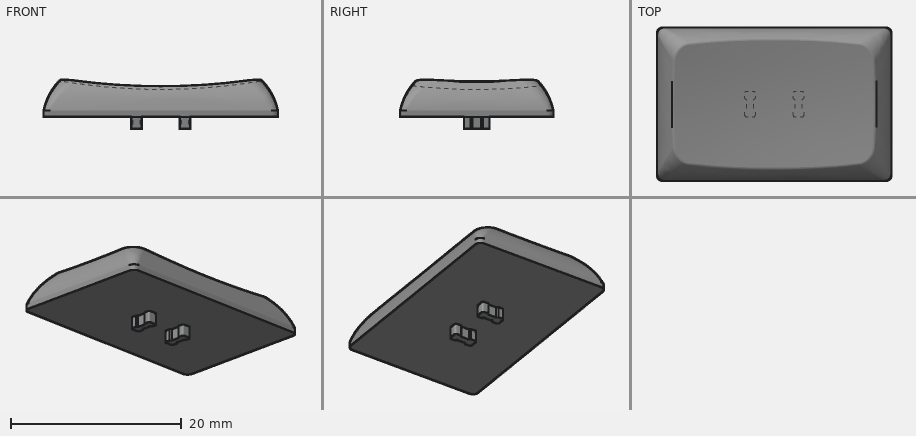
import cadquery as cq
import math

length = 27.5
width = 18.0

band_height = 0.72
base_corner_radius = 0.72

flank_radius = 7.15
flank_start_lean = math.radians(12.0)
flank_height = 4.02
flank_sections = 6
corner_radius_growth = 0.33

dish_radius = 70.12
dish_floor_height = 2.48
dish_edge_radius = 0.33

leg_spacing = 5.7
leg_thickness = 1.25
leg_length = 3.0
leg_height = 1.43
leg_corner_radius = 0.22
groove_mouth = 1.43
groove_floor = 1.05
groove_depth = 0.2

band_bottom = leg_height
band_top = band_bottom + band_height


def flank_inset(height):
    """Distance the flank arc has moved inward at a height above the band."""
    sine = math.sin(flank_start_lean) + height / flank_radius
    return flank_radius * (math.cos(flank_start_lean) - math.sqrt(1 - sine**2))


def rounded_section(height):
    """Rounded rectangle outline of the cap at a height above the band."""
    inset = flank_inset(height)
    radius = base_corner_radius + corner_radius_growth * height
    outline = cq.Sketch().rect(length - 2 * inset, width - 2 * inset).vertices().fillet(radius)
    return outline.moved(cq.Location(cq.Vector(0, 0, band_top + height)))


def make_cap():
    """Band and curved flanks with the dished top and its softened edge."""
    band = (
        cq.Workplane("XY", origin=(0, 0, band_bottom))
        .rect(length, width)
        .extrude(band_height)
        .edges("|Z")
        .fillet(base_corner_radius)
    )
    heights = [flank_height * i / (flank_sections - 1) for i in range(flank_sections)]
    sections = [rounded_section(height) for height in heights]
    dome = cq.Workplane("XY").placeSketch(*sections).loft()
    dish_center = band_top + dish_floor_height + dish_radius
    dish = cq.Workplane("XZ", origin=(0, 0, dish_center)).sphere(dish_radius)
    dome = dome.cut(dish)
    dome = dome.faces(cq.selectors.TypeSelector("SPHERE")).edges().fillet(dish_edge_radius)
    return band.union(dome)


def make_leg(center_x):
    """Upright leg with rounded corners and a tapered groove down both broad faces."""
    leg = (
        cq.Workplane("XY", origin=(center_x, 0, 0))
        .rect(leg_thickness, leg_length)
        .extrude(leg_height)
        .edges("|Z")
        .fillet(leg_corner_radius)
    )
    for side in (-1, 1):
        face_x = side * leg_thickness / 2
        floor_x = face_x - side * groove_depth
        groove = (
            cq.Workplane("XY", origin=(center_x, 0, 0))
            .moveTo(face_x, -groove_mouth / 2)
            .lineTo(floor_x, -groove_floor / 2)
            .lineTo(floor_x, groove_floor / 2)
            .lineTo(face_x, groove_mouth / 2)
            .close()
            .extrude(leg_height)
        )
        leg = leg.cut(groove)
    return leg


result = make_cap()
for side in (-1, 1):
    result = result.union(make_leg(side * leg_spacing / 2))